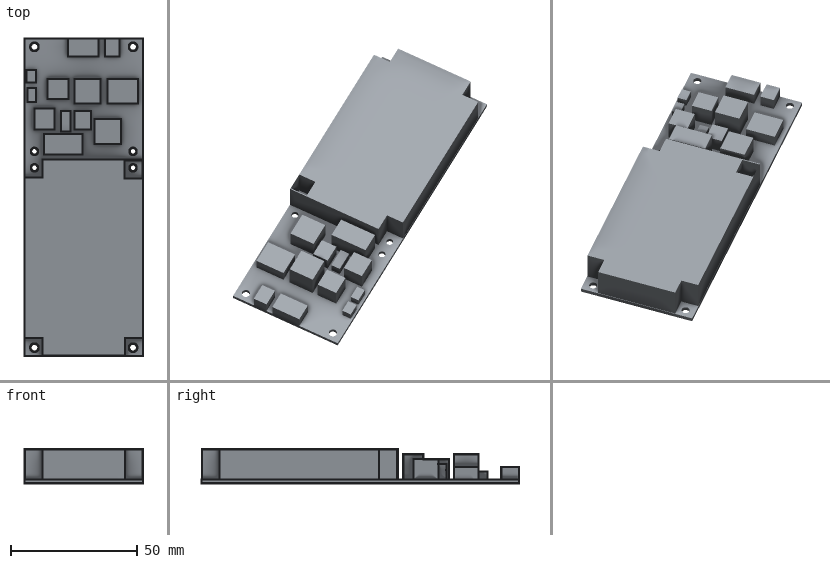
import cadquery as cq

BOARD_WIDTH = 46.9
BOARD_LENGTH = 125.7
BOARD_THICKNESS = 1.6

HOLE_EDGE_INSET = 3.95
LARGE_HOLE_DIAMETER = 3.2
SMALL_HOLE_DIAMETER = 2.7
REAR_ROW = 3.35
MIDDLE_ROW = 44.7
MODULE_REAR_ROW = 51.2
FRONT_ROW = BOARD_LENGTH - REAR_ROW
HOLE_ROWS = [
    (REAR_ROW, LARGE_HOLE_DIAMETER),
    (MIDDLE_ROW, SMALL_HOLE_DIAMETER),
    (MODULE_REAR_ROW, SMALL_HOLE_DIAMETER),
    (FRONT_ROW, LARGE_HOLE_DIAMETER),
]

MODULE_HEIGHT = 12.0
MODULE_FRONT_GAP = 0.2
MODULE_SIDE_GAP = 0.1
MODULE_REAR = 47.9
NOTCH_SIZE = 7.2
POCKET_REAR_WALL = 0.4
POCKET_SIDE_WALL = 0.05

CONNECTOR_DEPTH = 7.15
TALL_BLOCK_HEIGHT = 10.0
MEDIUM_BLOCK_HEIGHT = 8.0
CONNECTOR_HEIGHT = 5.0
REAR_RIGHT_BLOCK_HEIGHT = 5.0
MIDDLE_BLOCK_HEIGHT = 6.0
SLIM_BLOCK_HEIGHT = 3.8
INDICATOR_HEIGHT = 3.2

COMPONENTS = {
    "wide connector": (17.2, 0.0, 12.1, CONNECTOR_DEPTH, CONNECTOR_HEIGHT),
    "narrow connector": (31.9, 0.0, 5.7, CONNECTOR_DEPTH, CONNECTOR_HEIGHT),
    "rear indicator": (0.8, 12.5, 3.8, 5.0, INDICATOR_HEIGHT),
    "front indicator": (1.2, 19.7, 3.4, 5.4, INDICATOR_HEIGHT),
    "rear left block": (9.2, 16.0, 8.3, 7.9, MEDIUM_BLOCK_HEIGHT),
    "rear middle block": (19.7, 16.0, 10.3, 9.8, TALL_BLOCK_HEIGHT),
    "rear right block": (32.8, 16.0, 12.1, 9.8, REAR_RIGHT_BLOCK_HEIGHT),
    "left block": (3.9, 27.7, 8.0, 8.4, MEDIUM_BLOCK_HEIGHT),
    "slim block": (14.4, 28.8, 3.8, 8.0, SLIM_BLOCK_HEIGHT),
    "middle block": (19.8, 28.8, 6.5, 7.3, MIDDLE_BLOCK_HEIGHT),
    "right block": (27.8, 31.9, 10.3, 9.9, MEDIUM_BLOCK_HEIGHT),
    "wide block": (7.7, 37.9, 15.2, 8.0, TALL_BLOCK_HEIGHT),
}


def block(left, rear_distance, width, length, bottom, height):
    """Box placed by its left side and by its rear side's distance from the board's rear edge."""
    front = BOARD_LENGTH - rear_distance - length
    return cq.Workplane("XY").box(width, length, height, centered=False).translate((left, front, bottom))


def make_board():
    return block(0, 0, BOARD_WIDTH, BOARD_LENGTH, 0, BOARD_THICKNESS)


def make_module():
    """Module with three open corner notches and a thin-walled pocket at the rear right."""
    length = BOARD_LENGTH - MODULE_REAR - MODULE_FRONT_GAP
    width = BOARD_WIDTH - 2 * MODULE_SIDE_GAP
    module = block(MODULE_SIDE_GAP, MODULE_REAR, width, length, BOARD_THICKNESS, MODULE_HEIGHT)
    notch_right = BOARD_WIDTH - NOTCH_SIZE
    notch_front = BOARD_LENGTH - NOTCH_SIZE
    cuts = [
        (0, MODULE_REAR),
        (0, notch_front),
        (notch_right, notch_front),
        (notch_right - MODULE_SIDE_GAP - POCKET_SIDE_WALL, MODULE_REAR + POCKET_REAR_WALL),
    ]
    for left, rear_distance in cuts:
        notch = block(left, rear_distance, NOTCH_SIZE, NOTCH_SIZE, BOARD_THICKNESS, MODULE_HEIGHT)
        module = module.cut(notch)
    return module


def add_components(body):
    for left, rear_distance, width, length, height in COMPONENTS.values():
        body = body.union(block(left, rear_distance, width, length, BOARD_THICKNESS, height))
    return body


def drill_holes(body):
    for rear_distance, diameter in HOLE_ROWS:
        for x in (HOLE_EDGE_INSET, BOARD_WIDTH - HOLE_EDGE_INSET):
            drill = cq.Workplane("XY").center(x, BOARD_LENGTH - rear_distance)
            body = body.cut(drill.circle(diameter / 2).extrude(BOARD_THICKNESS))
    return body


result = drill_holes(add_components(make_board().union(make_module())))